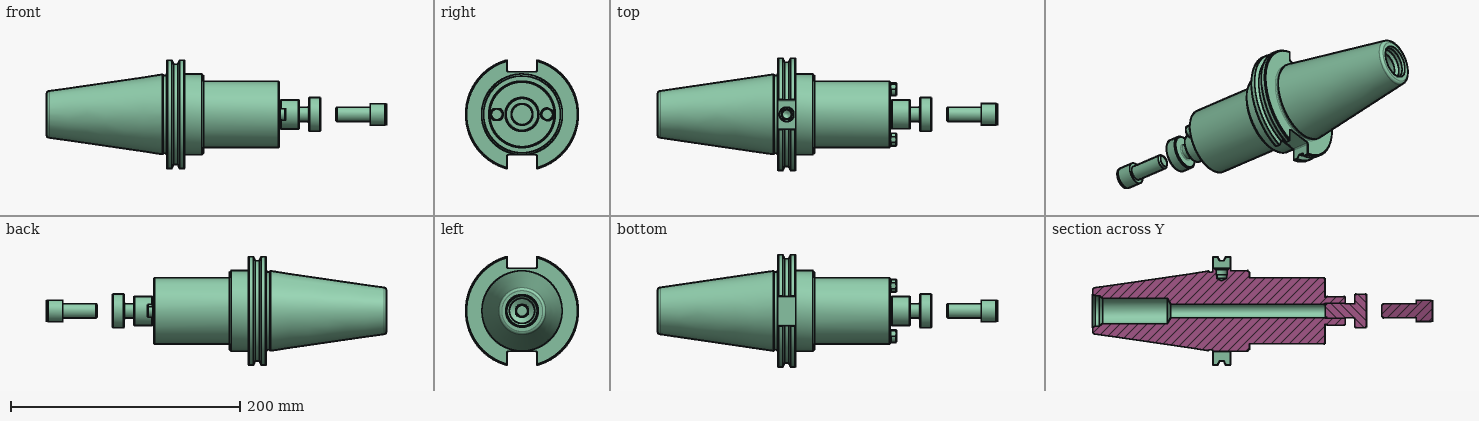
import cadquery as cq
import math

TAPER_SMALL_RADIUS = 20.2
NOSE_FILLET = 2.7
TAPER_LARGE_RADIUS = 35.0
TAPER_END = 101.0
NECK_RADIUS = 34.0
NECK_BEVEL_LENGTH = 1.0
NECK_FILLET = 1.0
FLANGE_START = 104.5
FLANGE_END = 120.5
FLANGE_RADIUS = 49.2
FLANGE_CHAMFER = 1.0
COLLAR_RADIUS = 35.3
COLLAR_END = 137.0
COLLAR_CHAMFER = 1.8
BARREL_RADIUS = 29.0
BARREL_END = 202.7
BARREL_CHAMFER = 1.0
PILOT_RADIUS = 12.7
PILOT_END = 220.5
PILOT_CHAMFER = 1.0
PILOT_UNDERCUT_RADIUS = 12.0
PILOT_UNDERCUT_WIDTH = 1.8
PILOT_UNDERCUT_FLOOR_WIDTH = 1.0

FLANGE_CENTER = (FLANGE_START + FLANGE_END) / 2
GROOVE_FLOOR_RADIUS = 45.5
GROOVE_HALF_WIDTH_TOP = 3.5
GROOVE_HALF_WIDTH_FLOOR = 1.8

SLOT_WIDTH = 25.8
SLOT_FLOOR_FILLET = 1.0
SLOT_EDGE_CHAMFER = 0.5
UPPER_SLOT_FLOOR = 37.3
LOWER_SLOT_FLOOR = 35.3

SLOT_HOLE_RADIUS = 4.0
SLOT_THREAD_RADIUS = 4.7
SLOT_THREAD_DEPTH = 6.0
SLOT_HOLE_MOUTH_RADIUS = 6.37
SLOT_HOLE_DEPTH = 9.0

BORE_MOUTH_RADIUS = 13.2
BORE_BEVEL_RADIUS = 14.2
BORE_BEVEL_DEPTH = 2.5
BORE_MOUTH_DEPTH = 6.0
BORE_CORE_START = 9.0
BORE_CORE_RADIUS = 11.0
BORE_CORE_END = 65.2
BORE_TIP_ANGLE = 59.0
THROUGH_HOLE_RADIUS = 5.5

SCREW_RADIUS = 6.37
SCREW_END_CHAMFER = 1.5
LOCK_STEM_START = 202.7
LOCK_HEAD_FILLET = 1.0
LOCK_HEAD_START = 228.5
LOCK_HEAD_END = 239.0
LOCK_HEAD_RADIUS = 14.8
LOCK_HEAD_CHAMFER = 1.0
CAP_SCREW_START = 252.0
CAP_HEAD_START = 282.2
CAP_HEAD_END = 296.5
CAP_HEAD_RADIUS = 9.5
CAP_HEAD_BEVEL_LENGTH = 1.8
CAP_HEAD_BEVEL = 0.5

PIN_RADIUS = 5.5
PIN_LENGTH = 5.5
PIN_CENTER_RADIUS = 22.0
PIN_CHAMFER = 1.0
PIN_FLAT_DISTANCE = 5.0
PINS = [(1, -26.0), (-1, 0.0)]


def turned(points):
    """Solid of revolution about X from (x, radius) points that close on the axis."""
    closed = [(points[0][0], 0), *points, (points[-1][0], 0)]
    return cq.Workplane("XY").polyline(closed).close().revolve(360, (0, 0, 0), (1, 0, 0))


def fillet_inner_corner(body, x, radius):
    """Fillet the smallest circular edge in the plane at the given x."""
    margin = 0.03
    reach = 2 * FLANGE_RADIUS
    plane = cq.selectors.BoxSelector((x - margin, -reach, -reach), (x + margin, reach, reach))
    return body.edges(plane).edges(cq.selectors.RadiusNthSelector(0)).fillet(radius)


def holder_blank():
    blank = turned([
        (0, TAPER_SMALL_RADIUS),
        (TAPER_END, TAPER_LARGE_RADIUS),
        (TAPER_END + NECK_BEVEL_LENGTH, NECK_RADIUS),
        (FLANGE_START, NECK_RADIUS),
        (FLANGE_START, FLANGE_RADIUS - FLANGE_CHAMFER),
        (FLANGE_START + FLANGE_CHAMFER, FLANGE_RADIUS),
        (FLANGE_END - FLANGE_CHAMFER, FLANGE_RADIUS),
        (FLANGE_END, FLANGE_RADIUS - FLANGE_CHAMFER),
        (FLANGE_END, COLLAR_RADIUS),
        (COLLAR_END - COLLAR_CHAMFER, COLLAR_RADIUS),
        (COLLAR_END, COLLAR_RADIUS - COLLAR_CHAMFER),
        (COLLAR_END, BARREL_RADIUS),
        (BARREL_END - BARREL_CHAMFER, BARREL_RADIUS),
        (BARREL_END, BARREL_RADIUS - BARREL_CHAMFER),
        (BARREL_END, PILOT_UNDERCUT_RADIUS),
        (BARREL_END + PILOT_UNDERCUT_FLOOR_WIDTH, PILOT_UNDERCUT_RADIUS),
        (BARREL_END + PILOT_UNDERCUT_WIDTH, PILOT_RADIUS),
        (PILOT_END - PILOT_CHAMFER, PILOT_RADIUS),
        (PILOT_END, PILOT_RADIUS - PILOT_CHAMFER),
    ])
    blank = blank.faces("<X").edges().fillet(NOSE_FILLET)
    return fillet_inner_corner(blank, FLANGE_START, NECK_FILLET)


def drawbar_bore():
    tip_length = (BORE_CORE_RADIUS - THROUGH_HOLE_RADIUS) / math.tan(math.radians(BORE_TIP_ANGLE))
    return turned([
        (0, BORE_BEVEL_RADIUS),
        (BORE_BEVEL_DEPTH, BORE_MOUTH_RADIUS),
        (BORE_MOUTH_DEPTH, BORE_MOUTH_RADIUS),
        (BORE_CORE_START, BORE_CORE_RADIUS),
        (BORE_CORE_END, BORE_CORE_RADIUS),
        (BORE_CORE_END + tip_length, THROUGH_HOLE_RADIUS),
        (LOCK_STEM_START, THROUGH_HOLE_RADIUS),
        (LOCK_STEM_START, SCREW_RADIUS),
        (PILOT_END, SCREW_RADIUS),
    ])


def gripper_groove():
    outline = [
        (FLANGE_CENTER - GROOVE_HALF_WIDTH_TOP, FLANGE_RADIUS),
        (FLANGE_CENTER - GROOVE_HALF_WIDTH_FLOOR, GROOVE_FLOOR_RADIUS),
        (FLANGE_CENTER + GROOVE_HALF_WIDTH_FLOOR, GROOVE_FLOOR_RADIUS),
        (FLANGE_CENTER + GROOVE_HALF_WIDTH_TOP, FLANGE_RADIUS),
    ]
    return cq.Workplane("XY").polyline(outline).close().revolve(360, (0, 0, 0), (1, 0, 0))


def drive_slot(floor):
    """Cutter for a slot on the +Z side, widening to chamfer the wall edges at both ends and along the rim."""
    wall = SLOT_WIDTH / 2
    flare = SLOT_EDGE_CHAMFER
    height = FLANGE_RADIUS - floor
    length = FLANGE_END - FLANGE_START
    channel = cq.Workplane("XY").box(length, SLOT_WIDTH, height, centered=(False, True, False))
    channel = channel.edges("|X and <Z").fillet(SLOT_FLOOR_FILLET)

    plan = [(0, wall + flare), (flare, wall), (length - flare, wall), (length, wall + flare)]
    mirrored_plan = [(x, -y) for x, y in reversed(plan)]
    flared_ends = cq.Workplane("XY").workplane(offset=SLOT_FLOOR_FILLET)
    flared_ends = flared_ends.polyline(plan + mirrored_plan).close().extrude(height - SLOT_FLOOR_FILLET)

    rim = math.sqrt(FLANGE_RADIUS ** 2 - wall ** 2) - floor
    top_wall = wall + flare + height - rim
    flared_rim = cq.Workplane("YZ").polyline(
        [(-wall, rim - flare), (wall, rim - flare), (top_wall, height), (-top_wall, height)])
    flared_rim = flared_rim.close().extrude(length)

    return channel.union(flared_ends).union(flared_rim).translate((FLANGE_START, 0, floor))


def drive_slots():
    upper = drive_slot(UPPER_SLOT_FLOOR)
    lower = drive_slot(LOWER_SLOT_FLOOR).rotate((0, 0, 0), (1, 0, 0), 180)
    return upper.union(lower)


def slot_hole():
    bevel = SLOT_HOLE_MOUTH_RADIUS - SLOT_THREAD_RADIUS
    step = UPPER_SLOT_FLOOR - SLOT_THREAD_DEPTH
    outline = [
        (0, UPPER_SLOT_FLOOR),
        (SLOT_HOLE_MOUTH_RADIUS, UPPER_SLOT_FLOOR),
        (SLOT_THREAD_RADIUS, UPPER_SLOT_FLOOR - bevel),
        (SLOT_THREAD_RADIUS, step),
        (SLOT_HOLE_RADIUS, step),
        (SLOT_HOLE_RADIUS, UPPER_SLOT_FLOOR - SLOT_HOLE_DEPTH),
        (0, UPPER_SLOT_FLOOR - SLOT_HOLE_DEPTH - SLOT_HOLE_RADIUS / 2),
    ]
    hole = cq.Workplane("XZ").polyline(outline).close().revolve(360, (0, 0, 0), (0, 1, 0))
    return hole.translate((FLANGE_CENTER, 0, 0))


def tool_holder():
    return holder_blank().cut(gripper_groove()).cut(drive_slots()).cut(drawbar_bore()).cut(slot_hole())


def drive_pin(side, turn):
    pin = cq.Workplane("YZ").circle(PIN_RADIUS).extrude(PIN_LENGTH)
    pin = pin.edges().chamfer(PIN_CHAMFER)
    between_flats = cq.Workplane("XY").box(4 * PIN_LENGTH, 4 * PIN_RADIUS, 2 * PIN_FLAT_DISTANCE)
    pin = pin.intersect(between_flats).rotate((0, 0, 0), (1, 0, 0), turn)
    return pin.translate((BARREL_END, side * PIN_CENTER_RADIUS, 0))


def lock_screw():
    screw = turned([
        (LOCK_STEM_START, SCREW_RADIUS - SCREW_END_CHAMFER),
        (LOCK_STEM_START + SCREW_END_CHAMFER, SCREW_RADIUS),
        (LOCK_HEAD_START, SCREW_RADIUS),
        (LOCK_HEAD_START, LOCK_HEAD_RADIUS - LOCK_HEAD_CHAMFER),
        (LOCK_HEAD_START + LOCK_HEAD_CHAMFER, LOCK_HEAD_RADIUS),
        (LOCK_HEAD_END - LOCK_HEAD_CHAMFER, LOCK_HEAD_RADIUS),
        (LOCK_HEAD_END, LOCK_HEAD_RADIUS - LOCK_HEAD_CHAMFER),
    ])
    return fillet_inner_corner(screw, LOCK_HEAD_START, LOCK_HEAD_FILLET)


def cap_screw():
    return turned([
        (CAP_SCREW_START, SCREW_RADIUS - SCREW_END_CHAMFER),
        (CAP_SCREW_START + SCREW_END_CHAMFER, SCREW_RADIUS),
        (CAP_HEAD_START, SCREW_RADIUS),
        (CAP_HEAD_START, CAP_HEAD_RADIUS),
        (CAP_HEAD_END - CAP_HEAD_BEVEL_LENGTH, CAP_HEAD_RADIUS),
        (CAP_HEAD_END, CAP_HEAD_RADIUS - CAP_HEAD_BEVEL),
    ])


drive_pins = [drive_pin(side, turn) for side, turn in PINS]
result = cq.Compound.makeCompound([
    tool_holder().val(),
    *[pin.val() for pin in drive_pins],
    lock_screw().val(),
    cap_screw().val(),
])